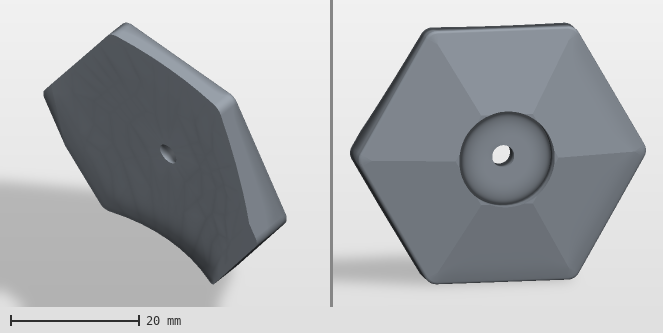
import math

import cadquery as cq

across_flats = 40.2
corner_radius = 2.0
thickness = 10.5
wall_height = 7.0
rim_fillet = 0.5
crown_circumradius = 8.2

recess_depth = 4.15
recess_half_width_top = 25.5
recess_half_width_bottom = 15.3
recess_clearance = 1.0

hole_diameter = 3.5
pocket_diameter = 15.2
pocket_depth = 3.0

plate_circumradius = across_flats / 2 / math.cos(math.pi / 6)
pocket_floor = thickness - pocket_depth


def plane_at(y):
    """Plane across the plate at height y, with its normal along +Y."""
    return cq.Workplane(cq.Plane(origin=(0, y, 0), xDir=(1, 0, 0), normal=(0, 1, 0)))


def make_plate():
    """Hexagonal plate with rounded corners and a tapered back."""
    walls = plane_at(0).polygon(6, 2 * plate_circumradius).extrude(wall_height)
    rounded_walls = walls.edges("|Y").fillet(corner_radius)

    slope_height = thickness - wall_height
    slope_run = (plate_circumradius - crown_circumradius) * math.cos(math.pi / 6)
    taper_angle = math.degrees(math.atan2(slope_run, slope_height))
    plate = (
        rounded_walls.faces(">Y")
        .wires()
        .toPending()
        .workplane()
        .extrude(slope_height, taper=taper_angle)
    )

    rim_margin = 0.01
    reach = plate_circumradius
    rim = cq.selectors.BoxSelector(
        (-reach, wall_height - rim_margin, -reach),
        (reach, wall_height + rim_margin, reach),
    )
    return plate.edges(rim).fillet(rim_fillet)


def recess_section(z, half_width):
    """Cross-section of the front recess: two arcs meeting at the deepest point, closed in front."""
    arc_radius = (half_width**2 + recess_depth**2) / (2 * recess_depth)
    return (
        cq.Workplane("XY", origin=(0, 0, z))
        .moveTo(-half_width, 0)
        .radiusArc((0, recess_depth), arc_radius)
        .radiusArc((half_width, 0), arc_radius)
        .lineTo(half_width, -recess_clearance)
        .lineTo(-half_width, -recess_clearance)
        .close()
        .val()
    )


def make_recess():
    """Straight-ruled hollow between the arcs on the bottom and top sides."""
    bottom = recess_section(-across_flats / 2, recess_half_width_bottom)
    top = recess_section(across_flats / 2, recess_half_width_top)
    return cq.Workplane(cq.Solid.makeLoft([bottom, top], True))


def make_hole():
    return plane_at(0).circle(hole_diameter / 2).extrude(thickness)


def make_pocket():
    return plane_at(pocket_floor).circle(pocket_diameter / 2).extrude(pocket_depth)


result = make_plate().cut(make_recess()).cut(make_hole()).cut(make_pocket())